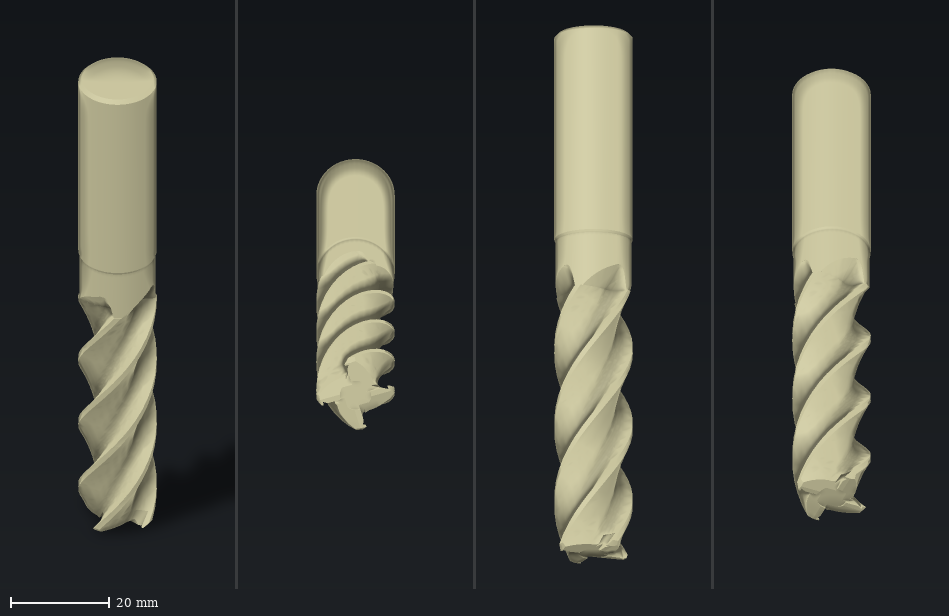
import cadquery as cq
import math

total_length = 110.0
cutter_length = 55.0
cutter_radius = 8.0

flute_count = 4
helix_angle = 38.0
edge_phase = 2.7
land_angle = 9.5
heel_radius = 4.8
heel_lead = 35.0
relief_radius = 6.2
relief_lead = 60.0
rake_radius = 6.0
rake_lead = 3.5
floor_radius = 4.5
floor_lead = 22.0

corner_chamfer_width = 0.8
corner_chamfer_height = 1.1
gash_height = 3.0
gash_inner = 3.5
gash_outer = 6.8
gash_front = -1.3
gash_back = 0.5
gash_lean = 1.5
end_land = 1.1
end_relief_angle = 15.0
end_relief_width = 5.5
dish_radius = 3.2
dish_depth = 0.3

shank_radius = cutter_radius
neck_radius = 7.7
neck_top = 66.1
neck_cone_height = 0.5
top_chamfer = 0.8
runout_height = 4.8
runout_shift = 3.2
runout_lead = 10.0

flute_pitch = 360.0 / flute_count
helix_lead = 2 * math.pi * cutter_radius / math.tan(math.radians(helix_angle))
cutter_twist = 360.0 * cutter_length / helix_lead
outside_radius = 2 * cutter_radius
top_phase = edge_phase + cutter_twist


def polar(radius, angle):
    """Point at a radius and an angle in degrees."""
    return (radius * math.cos(math.radians(angle)), radius * math.sin(math.radians(angle)))


def slanted_prism(outline, path):
    """Solid swept by a closed flat outline along a straight slanted path."""
    face = cq.Face.makeFromWires(outline.val())
    return cq.Workplane(cq.Solid.extrudeLinear(face, path))


def draw_flute(sketch, edge_angle):
    """Continue an outline from the land end of one tooth along the flute to the next cutting edge."""
    return (
        sketch.threePointArc(
            polar(relief_radius, edge_angle - relief_lead),
            polar(heel_radius, edge_angle - heel_lead),
        )
        .threePointArc(
            polar(floor_radius, edge_angle - floor_lead),
            polar(rake_radius, edge_angle - rake_lead),
        )
        .lineTo(*polar(cutter_radius, edge_angle))
    )


def place_at_tooth(tool, tooth):
    """Turn a tool made for a tooth along +X to one of the teeth."""
    return tool.rotate((0, 0, 0), (0, 0, 1), edge_phase + tooth * flute_pitch)


def make_gash():
    """Wedge-shaped notch in the rake face at the tip of a tooth along +X."""
    outline = (
        cq.Workplane("XY")
        .polyline([(gash_inner, gash_front), (gash_outer, gash_front), (gash_outer, gash_back)])
        .close()
    )
    return slanted_prism(outline, cq.Vector(0, gash_lean, gash_height))


def make_end_relief():
    """Wedge under a tooth along +X that slopes its end face up behind the end land."""
    relief_rise = end_relief_width * math.tan(math.radians(end_relief_angle))
    relief_end = end_land + end_relief_width
    return (
        cq.Workplane("YZ")
        .polyline([(end_land, 0), (relief_end, 0), (relief_end, relief_rise)])
        .close()
        .extrude(outside_radius)
    )


def make_cutter():
    """Twisted four-tooth body with chamfered corners and a gash at each tooth."""
    outline = cq.Workplane("XY").moveTo(*polar(cutter_radius, edge_phase))
    for tooth in range(flute_count):
        edge = edge_phase + tooth * flute_pitch
        outline = outline.threePointArc(
            polar(cutter_radius, edge + land_angle / 2),
            polar(cutter_radius, edge + land_angle),
        )
        outline = draw_flute(outline, edge + flute_pitch)
    body = outline.close().twistExtrude(cutter_length, cutter_twist)

    corner_ring = (
        cq.Workplane("XZ")
        .moveTo(cutter_radius - corner_chamfer_width, 0)
        .lineTo(cutter_radius + corner_chamfer_width, 2 * corner_chamfer_height)
        .lineTo(cutter_radius + corner_chamfer_width, 0)
        .close()
        .revolve(360, (0, 0, 0), (0, 1, 0))
    )
    dish = cq.Workplane("XY").circle(dish_radius).extrude(dish_depth)
    body = body.cut(corner_ring).cut(dish)
    for tooth in range(flute_count):
        body = body.cut(place_at_tooth(make_gash(), tooth))
        body = body.cut(place_at_tooth(make_end_relief(), tooth))
    return body


def make_runout(edge_angle):
    """Flute end in the neck: the flute section drifting outward as it rises."""
    drift_angle = edge_angle - runout_lead
    previous_land_end = edge_angle - flute_pitch + land_angle
    outline = (
        cq.Workplane("XY")
        .workplane(offset=cutter_length)
        .moveTo(*polar(cutter_radius, previous_land_end))
    )
    outline = draw_flute(outline, edge_angle)
    section = outline.lineTo(*polar(outside_radius, (edge_angle + previous_land_end) / 2)).close()
    drift = cq.Vector(*polar(runout_shift, drift_angle), runout_height)
    return slanted_prism(section, drift)


def make_shank():
    """Round shank and neck, hollowed by the four flute ends."""
    body = (
        cq.Workplane("XZ")
        .moveTo(0, cutter_length)
        .lineTo(neck_radius, cutter_length)
        .lineTo(neck_radius, neck_top)
        .lineTo(shank_radius, neck_top + neck_cone_height)
        .lineTo(shank_radius, total_length - top_chamfer)
        .lineTo(shank_radius - top_chamfer, total_length)
        .lineTo(0, total_length)
        .close()
        .revolve(360, (0, 0, 0), (0, 1, 0))
    )
    for tooth in range(flute_count):
        body = body.cut(make_runout(top_phase + tooth * flute_pitch))
    return body


cutter = make_cutter()
shank = make_shank()
result = cq.Compound.makeCompound([cutter.val(), shank.val()])